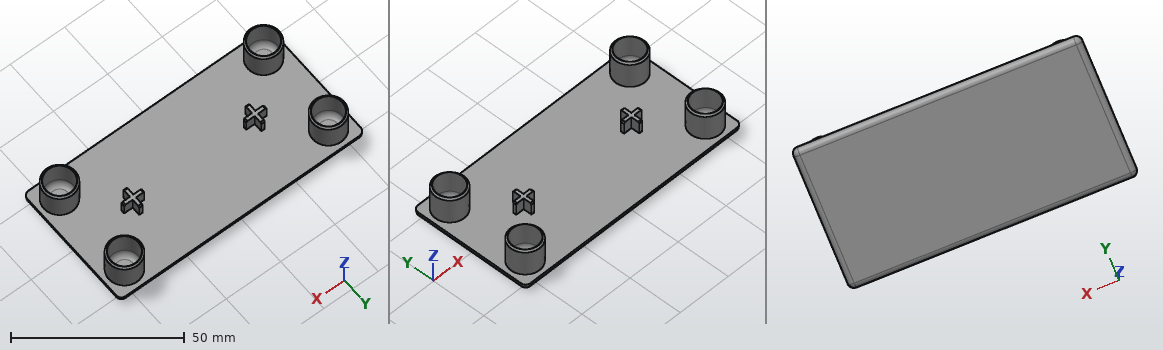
import cadquery as cq

plate_length = 90.0
plate_width = 45.0
plate_thickness = 2.5
plate_round = 2.0

post_spacing_x = 75.1
post_spacing_y = 30.1
post_height = 9.7
post_diameter = 11.5
bore_diameter = 10.0
bore_floor_round = 2.0
rim_chamfer = 0.6

cross_spacing = 44.9
cross_span = 7.5
cross_height = 4.5
cross_thickness = 1.3
cross_chamfer = 0.45


def make_plate():
    """Rectangular plate with rounded corners and a rounded bottom edge."""
    plate = cq.Workplane("XY").box(
        plate_length, plate_width, plate_thickness, centered=(True, True, False)
    )
    plate = plate.edges("|Z").fillet(plate_round)
    plate = plate.faces("<Z").edges().fillet(plate_round)
    return plate.translate((0, 0, -plate_thickness))


def make_post():
    """Open tube with a chamfered outer rim and a rounded bore floor."""
    outer_radius = post_diameter / 2
    bore_radius = bore_diameter / 2
    body = cq.Workplane("XY").circle(outer_radius).extrude(post_height)
    body = body.faces(">Z").edges().chamfer(rim_chamfer)
    bore = cq.Workplane("XY").circle(bore_radius).extrude(post_height)
    bore = bore.faces("<Z").edges().fillet(bore_floor_round)
    return body.cut(bore)


def make_cross():
    """Two crossing ribs with chamfered top ends."""
    rib = cq.Workplane("XY").box(
        cross_span, cross_thickness, cross_height, centered=(True, True, False)
    )
    rib = rib.faces(">Z").edges("|Y").chamfer(cross_chamfer)
    return rib.union(rib.rotate((0, 0, 0), (0, 0, 1), 90))


result = make_plate()

post = make_post()
for side_x in (-1, 1):
    for side_y in (-1, 1):
        result = result.union(
            post.translate((side_x * post_spacing_x / 2, side_y * post_spacing_y / 2, 0))
        )

cross = make_cross()
for side_x in (-1, 1):
    result = result.union(cross.translate((side_x * cross_spacing / 2, 0, 0)))